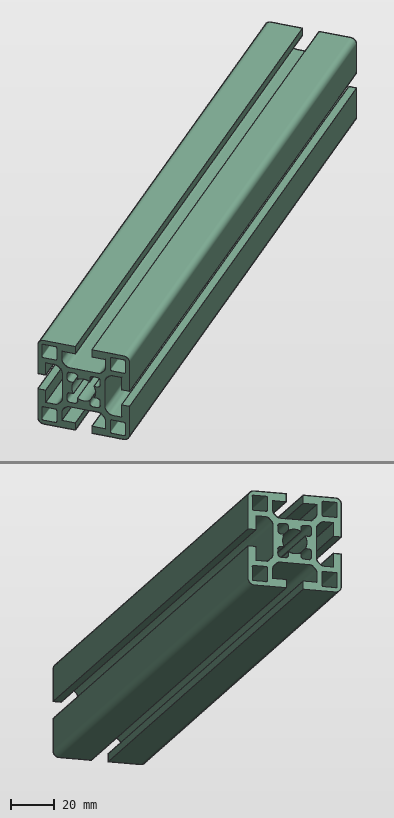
import cadquery as cq

SIDE = 45.0
LENGTH = 300.0
OUTER_RADIUS = 3.0

SLOT_OPENING = 8.0
LIP_THICKNESS = 4.0
CAVITY_WIDTH = 21.3
CAVITY_CHAMFER = 2.55
CAVITY_BLEND_RADIUS = 2.7

CORE_WIDTH = 21.0

HOLLOW_SIZE = 7.2
HOLLOW_WALL = 2.0
HOLLOW_RADIUS = 0.5

BORE_DIAMETER = 11.7
LOBE_SIZE = 5.0
LOBE_PITCH = 11.0
LOBE_RADIUS = 1.5


def section(height=0):
    """Cross-section plane at the -Y end, centred at Z = height."""
    return cq.Workplane("XZ", origin=(0, -LENGTH / 2, height))


def full_length(sketch):
    """Extrude a cross-section along +Y through the whole bar."""
    return sketch.extrude(-LENGTH)


def rounded_squares_on_diagonals(pitch, size, radius):
    """Four full-length square prisms, centred on the corners of a square of side `pitch`."""
    squares = section().rect(pitch, pitch, forConstruction=True).vertices().rect(size, size)
    return full_length(squares).edges("|Y").fillet(radius)


def solid_bar():
    return full_length(section().rect(SIDE, SIDE)).edges("|Y").fillet(OUTER_RADIUS)


def top_slot():
    """T-slot cutter for the +Z side; its floor chamfers are blended into the walls and floor."""
    outer = SIDE / 2
    lip = outer - LIP_THICKNESS
    floor = CORE_WIDTH / 2
    opening = full_length(section((outer + lip) / 2).rect(SLOT_OPENING, LIP_THICKNESS))
    cavity = full_length(section((lip + floor) / 2).rect(CAVITY_WIDTH, lip - floor))
    cavity = cavity.edges("|Y and <Z").chamfer(CAVITY_CHAMFER)
    sloping_faces = cavity.faces("not (|X or |Y or |Z)")
    cavity = sloping_faces.edges("|Y").fillet(CAVITY_BLEND_RADIUS)
    return cavity.union(opening)


def corner_hollows():
    pitch = SIDE - 2 * HOLLOW_WALL - HOLLOW_SIZE
    return rounded_squares_on_diagonals(pitch, HOLLOW_SIZE, HOLLOW_RADIUS)


def lobed_bore():
    bore = full_length(section().circle(BORE_DIAMETER / 2))
    return bore.union(rounded_squares_on_diagonals(LOBE_PITCH, LOBE_SIZE, LOBE_RADIUS))


result = solid_bar()
for angle in (0, 90, 180, 270):
    result = result.cut(top_slot().rotate((0, 0, 0), (0, 1, 0), angle))
result = result.cut(corner_hollows()).cut(lobed_bore())